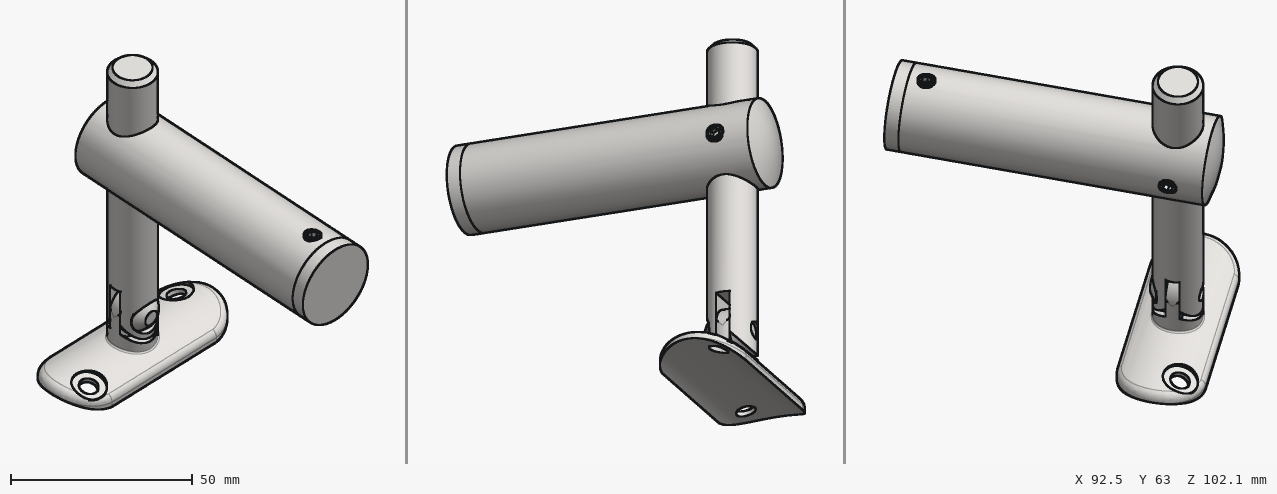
import cadquery as cq
import math


rail_radius = 21.2
saddle_thickness = 2.6
saddle_width = 25.0
saddle_length = 63.0
saddle_straight = 40.0
saddle_edge_fillet = 2.5
saddle_outer_radius = rail_radius + saddle_thickness

mount_angle = 15.0
mount_y = 22.5
mount_hole_diameter = 5.5
mount_sink_diameter = 10.0
mount_sink_depth = 1.0

post_radius = 7.0
post_top_z = rail_radius + 98.0
post_chamfer = 1.5
hinge_z = rail_radius + 13.0
hinge_seat_radius = 8.4
tongue_width = 4.0
slot_top_z = rail_radius + 23.0
neck_fillet = 0.5

shank_radius = 2.5
shank_end_x = -6.0
head_radius = 5.2
head_seat_x = 4.0
head_rim_x = 5.0
head_top_x = 7.4
head_flat_radius = 2.3
head_bulge = 0.15

arm_radius = 12.5
arm_z = rail_radius + 68.0
arm_rim_x = -9.75
arm_dome_radius = 35.0
arm_end_x = 76.0
wall_disc_thickness = 4.0

set_screw_radius = 2.5
set_screw_length = arm_radius - post_radius
set_screw_chamfer = 0.5
socket_across_flats = 2.5
socket_depth = 2.0
set_screw_places = [(71.0, 0), (0, -90)]


def rod_x(radius, z, start, end):
    """Cylinder along X, centred on Y = 0 at the given height."""
    return cq.Workplane("YZ", origin=(start, 0, z)).circle(radius).extrude(end - start)


def rod_z(radius, start, end):
    """Cylinder along Z on the post axis."""
    return cq.Workplane("XY", origin=(0, 0, start)).circle(radius).extrude(end - start)


def rail_rod(radius):
    """Cylinder along the handrail, longer than the saddle."""
    return cq.Workplane("XZ").circle(radius).extrude(saddle_length, both=True)


def tongue_block(top_z):
    """Flat block across the middle of the post, from the handrail axis up to top_z."""
    return cq.Workplane("XY").rect(tongue_width, 4 * post_radius).extrude(top_z)


def mount_drill(side):
    """Screw hole and its counterbore, leaning outward to stand square to the saddle."""
    floor = saddle_outer_radius - mount_sink_depth
    base = cq.Workplane("XY", origin=(0, side * -mount_y, 0))
    hole = base.circle(mount_hole_diameter / 2).extrude(2 * saddle_outer_radius)
    sink = base.workplane(offset=floor).circle(mount_sink_diameter / 2).extrude(saddle_outer_radius)
    return hole.union(sink).rotate((0, 0, 0), (0, 1, 0), side * mount_angle)


def make_saddle():
    """Curved foot plate with the hinge tongue standing on it."""
    half_width = saddle_width / 2
    half_straight = saddle_straight / 2
    half_length = saddle_length / 2
    outline = (
        cq.Workplane("XY")
        .moveTo(half_width, -half_straight)
        .lineTo(half_width, half_straight)
        .threePointArc((0, half_length), (-half_width, half_straight))
        .lineTo(-half_width, -half_straight)
        .threePointArc((0, -half_length), (half_width, -half_straight))
        .close()
        .extrude(saddle_outer_radius)
    )
    plate = outline.intersect(rail_rod(saddle_outer_radius))
    plate = plate.faces(">Z").edges().fillet(saddle_edge_fillet)

    tongue_end = rod_x(post_radius, hinge_z, -tongue_width / 2, tongue_width / 2)
    stem = rod_z(post_radius, 0, hinge_z).union(tongue_end.intersect(rod_z(post_radius, 0, slot_top_z)))
    seat = rod_x(hinge_seat_radius, hinge_z, -2 * post_radius, 2 * post_radius)
    stem = stem.cut(seat.cut(tongue_block(slot_top_z + hinge_seat_radius)))

    body = plate.union(stem)
    margin = neck_fillet
    reach = post_radius + margin
    neck_foot = cq.selectors.BoxSelector(
        (-reach, -reach, rail_radius),
        (reach, reach, saddle_outer_radius + margin),
    )
    body = body.edges(neck_foot).fillet(neck_fillet)
    body = body.cut(rail_rod(rail_radius))
    for side in (-1, 1):
        body = body.cut(mount_drill(side))
    return body.cut(rod_x(shank_radius, hinge_z, -post_radius, post_radius))


def make_post():
    """Round post with a forked lower end rounded about the hinge axis."""
    shaft = rod_z(post_radius, hinge_z, post_top_z).faces(">Z").chamfer(post_chamfer)
    rounded_end = rod_x(post_radius, hinge_z, -post_radius, post_radius)
    rounded_end = rounded_end.intersect(rod_z(post_radius, 0, post_top_z))
    post = shaft.union(rounded_end).cut(tongue_block(slot_top_z))
    post = post.cut(rod_x(shank_radius, hinge_z, -2 * post_radius, post_radius))
    return post.cut(rod_x(head_radius, hinge_z, head_seat_x, 2 * post_radius))


def make_hinge_screw():
    """Plain shank with a raised head, revolved about the hinge axis."""
    bulge_x = (head_rim_x + head_top_x) / 2 + head_bulge
    bulge_radius = (head_radius + head_flat_radius) / 2 + head_bulge
    return (
        cq.Workplane("XY")
        .moveTo(shank_end_x, 0)
        .lineTo(shank_end_x, shank_radius)
        .lineTo(head_seat_x, shank_radius)
        .lineTo(head_seat_x, head_radius)
        .lineTo(head_rim_x, head_radius)
        .threePointArc((bulge_x, bulge_radius), (head_top_x, head_flat_radius))
        .lineTo(head_top_x, 0)
        .close()
        .revolve(360, (0, 0, 0), (1, 0, 0))
        .translate((0, 0, hinge_z))
    )


def turn_about_arm(body, angle):
    """Turn a body about the axis of the support arm."""
    return body.rotate((0, 0, arm_z), (1, 0, arm_z), angle)


def set_screw_blank(x):
    """Plain cylinder reaching in from the top of the arm."""
    start = arm_z + arm_radius - set_screw_length
    return cq.Workplane("XY", origin=(x, 0, start)).circle(set_screw_radius).extrude(set_screw_length)


def make_set_screw(x, angle):
    """Chamfered set screw with a hexagon socket that has two flats square to the arm."""
    socket_diameter = socket_across_flats / math.cos(math.pi / 6)
    socket_floor = arm_z + arm_radius - socket_depth
    socket = (
        cq.Workplane("XY", origin=(x, 0, socket_floor))
        .transformed(rotate=(0, 0, 30))
        .polygon(6, socket_diameter)
        .extrude(socket_depth)
    )
    screw = set_screw_blank(x).faces(">Z").chamfer(set_screw_chamfer).cut(socket)
    return turn_about_arm(screw, angle)


def make_arm():
    """Round arm with a domed front end, bored for the post and the set screws."""
    sagitta = arm_dome_radius - math.sqrt(arm_dome_radius**2 - arm_radius**2)
    arm = (
        cq.Workplane("XY")
        .moveTo(arm_rim_x - sagitta, 0)
        .radiusArc((arm_rim_x, arm_radius), arm_dome_radius)
        .lineTo(arm_end_x, arm_radius)
        .lineTo(arm_end_x, 0)
        .close()
        .revolve(360, (0, 0, 0), (1, 0, 0))
        .translate((0, 0, arm_z))
    )
    arm = arm.cut(rod_z(post_radius, hinge_z, post_top_z))
    for x, angle in set_screw_places:
        arm = arm.cut(turn_about_arm(set_screw_blank(x), angle))
    return arm


def make_wall_disc():
    """Plain disc that closes the wall end of the arm."""
    return rod_x(arm_radius, arm_z, arm_end_x, arm_end_x + wall_disc_thickness)


saddle = make_saddle()
post = make_post()
hinge_screw = make_hinge_screw()
arm = make_arm()
wall_disc = make_wall_disc()
set_screws = [make_set_screw(x, angle) for x, angle in set_screw_places]

result = cq.Compound.makeCompound([
    saddle.val(),
    post.val(),
    hinge_screw.val(),
    arm.val(),
    wall_disc.val(),
    *[screw.val() for screw in set_screws],
])